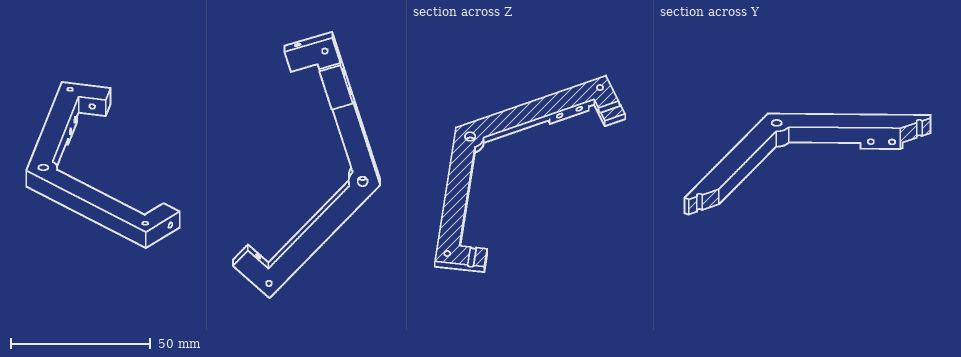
import cadquery as cq
import math

overall_width = 100.8
arm_angle = 30.0
bar_width = 8.0
body_height = 7.0
tab_reach = 10.0

apex_center_y = 6.4
boss_diameter = 10.0
apex_hole_diameter = 3.5

corner_hole_diameter = 2.0
tab_hole_diameter = 2.0

pad_height = 2.5
pad_length = 15.1
pad_center = 40.7
pad_hole_diameter = 2.2
pad_hole_spacing = 7.6
pad_hole_z = 0.7

arm_length = overall_width / 2 / math.cos(math.radians(arm_angle))
tab_length = bar_width + tab_reach
corner_hole_inset = bar_width / 2
tab_hole_offset = bar_width + tab_reach / 2


def place_arm(shape):
    """Turn a shape laid along +X from the origin onto the right arm."""
    return shape.rotate((0, 0, 0), (0, 0, 1), arm_angle)


def mirror_to_left(shape):
    return shape.mirror("YZ")


def block(length, width, height):
    """Box with one lower corner at the origin."""
    return cq.Workplane("XY").box(length, width, height, centered=False)


def make_arm():
    """Straight bar with an end tab, the corner hole and the hole across the tab."""
    bar = block(arm_length, bar_width, body_height)
    tab = block(bar_width, tab_length, body_height).translate((arm_length - bar_width, 0, 0))
    corner_hole = (
        cq.Workplane("XY")
        .center(arm_length - corner_hole_inset, corner_hole_inset)
        .circle(corner_hole_diameter / 2)
        .extrude(body_height)
    )
    tab_hole = (
        cq.Workplane("YZ", origin=(arm_length - bar_width, 0, 0))
        .center(tab_hole_offset, body_height / 2)
        .circle(tab_hole_diameter / 2)
        .extrude(bar_width)
    )
    return place_arm(bar.union(tab).cut(corner_hole).cut(tab_hole))


def make_pad():
    pad = block(pad_length, bar_width, pad_height)
    pad = pad.translate((pad_center - pad_length / 2, 0, -pad_height))
    return mirror_to_left(place_arm(pad))


def make_pad_holes():
    """Two holes straight across the arm, straddling the joint with the pad."""
    holes = (
        cq.Workplane("XZ")
        .center(pad_center, pad_hole_z)
        .rarray(pad_hole_spacing, 1, 2, 1)
        .circle(pad_hole_diameter / 2)
        .extrude(-bar_width)
    )
    return mirror_to_left(place_arm(holes))


def apex_cylinder(diameter):
    return cq.Workplane("XY").center(0, apex_center_y).circle(diameter / 2).extrude(body_height)


right_arm = make_arm()
body = right_arm.union(mirror_to_left(right_arm))
body = body.union(apex_cylinder(boss_diameter)).cut(apex_cylinder(apex_hole_diameter))
result = body.union(make_pad()).cut(make_pad_holes())